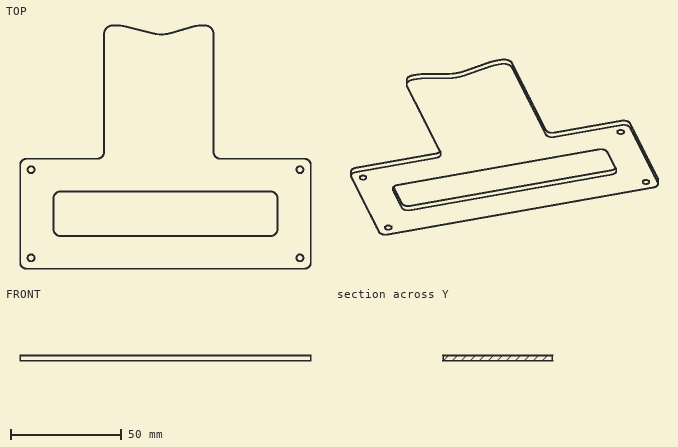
import cadquery as cq

thickness = 2.5
plate_width = 132.0
plate_depth = 50.0
corner_radius = 3.0

window_width = 101.5
window_depth = 20.0
hole_diameter = 3.0
hole_margin = 5.0

overall_depth = 110.5
neck_width = 49.8
neck_center_x = -3.0
neck_tip_radius = 4.0

left_crest_end = 7.9
valley_position = 26.4
right_crest_start = 42.1
valley_depth = 4.6
wave_radius = 15.0

plate_back = plate_depth / 2
neck_left = neck_center_x - neck_width / 2
neck_right = neck_left + neck_width
tip_y = overall_depth - plate_depth / 2


def round_upright_edge(body, x, y, radius):
    """Fillet the vertical edge nearest to the given outline corner."""
    nearest = cq.selectors.NearestToPointSelector((x, y, thickness / 2))
    return body.edges("|Z").edges(nearest).fillet(radius)


def make_plate():
    return (
        cq.Workplane("XY")
        .rect(plate_width, plate_depth)
        .extrude(thickness)
        .edges("|Z")
        .fillet(corner_radius)
    )


def make_neck():
    left_tip = (neck_left, tip_y)
    left_crest = (neck_left + left_crest_end, tip_y)
    valley = (neck_left + valley_position, tip_y - valley_depth)
    right_crest = (neck_left + right_crest_start, tip_y)
    right_tip = (neck_right, tip_y)
    neck = (
        cq.Workplane("XY")
        .polyline([(neck_left, 0), left_tip, left_crest, valley, right_crest, right_tip, (neck_right, 0)])
        .close()
        .extrude(thickness)
    )
    for corner in (left_tip, right_tip):
        neck = round_upright_edge(neck, *corner, neck_tip_radius)
    for corner in (left_crest, valley, right_crest):
        neck = round_upright_edge(neck, *corner, wave_radius)
    return neck


def make_window():
    return (
        cq.Workplane("XY")
        .rect(window_width, window_depth)
        .extrude(thickness)
        .edges("|Z")
        .fillet(corner_radius)
    )


def make_holes():
    return (
        cq.Workplane("XY")
        .rect(plate_width - 2 * hole_margin, plate_depth - 2 * hole_margin, forConstruction=True)
        .vertices()
        .circle(hole_diameter / 2)
        .extrude(thickness)
    )


result = make_plate().union(make_neck(), clean=True)

for side_x in (neck_left, neck_right):
    result = round_upright_edge(result, side_x, plate_back, corner_radius)

result = result.cut(make_window()).cut(make_holes())